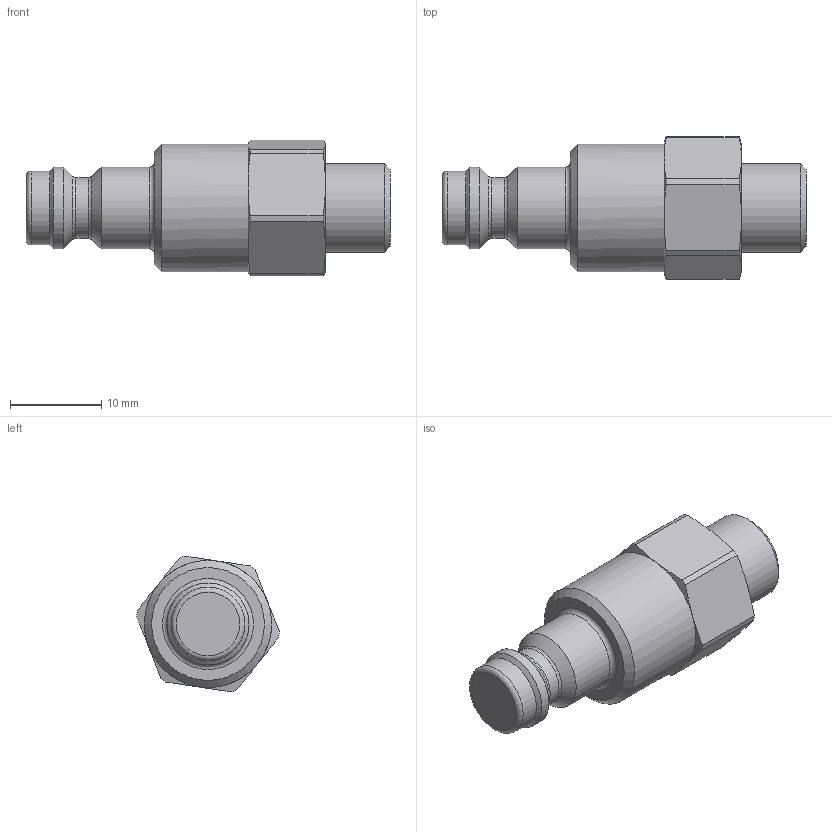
import cadquery as cq
import math

TOTAL_LENGTH = 40.0
RING_START = 2.6
RING_CREST_START = 3.0
RING_CREST_END = 4.1
SHANK_START = 8.35
BODY_START = 14.1
HEX_START = 24.4
HEX_END = 32.9

TIP_RADIUS = 8.1 / 2
SHANK_RADIUS = 9.0 / 2
NECK_RADIUS = 6.65 / 2
BODY_RADIUS = 14.0 / 2
SPIGOT_RADIUS = 9.73 / 2

TIP_ROUND = 0.55
NECK_FILLET = 0.5
RING_CONE_ANGLE = 45.0
SHANK_CONE_ANGLE = 42.0
SHANK_FILLET = 0.5
BODY_CHAMFER = 0.8
SPIGOT_CHAMFER = 0.6

HEX_ACROSS_FLATS = 2 * BODY_RADIUS
HEX_CORNER_RADIUS = 15.8 / 2
HEX_CORNER_ANGLE = 8.6
HEX_CHAMFER_ANGLE = 15.0


def arc_middle(center_x, center_r, radius, angle):
    """Point on a circle at an angle in degrees from the X axis."""
    turn = math.radians(angle)
    return (center_x + radius * math.cos(turn), center_r + radius * math.sin(turn))


def neck_transition(cone_angle):
    """Axial runs of the cone and of the fillet between shank radius and neck, and the fillet rise."""
    slope = math.radians(cone_angle)
    fillet_run = NECK_FILLET * math.sin(slope)
    fillet_rise = NECK_FILLET * (1 - math.cos(slope))
    cone_run = (SHANK_RADIUS - NECK_RADIUS - fillet_rise) / math.tan(slope)
    return cone_run, fillet_run, fillet_rise


def turned_body():
    """Plug tip, locking groove, shank, body and rear spigot as one revolve about X."""
    front_cone_run, front_fillet_run, front_rise = neck_transition(RING_CONE_ANGLE)
    ring_cone_end = RING_CREST_END + front_cone_run
    neck_start = ring_cone_end + front_fillet_run
    rear_cone_run, rear_fillet_run, rear_rise = neck_transition(SHANK_CONE_ANGLE)
    shank_cone_start = SHANK_START - rear_cone_run
    neck_end = shank_cone_start - rear_fillet_run
    tip_round_middle = arc_middle(TIP_ROUND, TIP_RADIUS - TIP_ROUND, TIP_ROUND, 135)
    shank_fillet_middle = arc_middle(
        BODY_START - SHANK_FILLET, SHANK_RADIUS + SHANK_FILLET, SHANK_FILLET, -45
    )
    profile = (
        cq.Workplane("XY")
        .moveTo(0, 0)
        .lineTo(0, TIP_RADIUS - TIP_ROUND)
        .threePointArc(tip_round_middle, (TIP_ROUND, TIP_RADIUS))
        .lineTo(RING_START, TIP_RADIUS)
        .lineTo(RING_CREST_START, SHANK_RADIUS)
        .lineTo(RING_CREST_END, SHANK_RADIUS)
        .lineTo(ring_cone_end, NECK_RADIUS + front_rise)
        .tangentArcPoint((neck_start, NECK_RADIUS), relative=False)
        .lineTo(neck_end, NECK_RADIUS)
        .tangentArcPoint((shank_cone_start, NECK_RADIUS + rear_rise), relative=False)
        .lineTo(SHANK_START, SHANK_RADIUS)
        .lineTo(BODY_START - SHANK_FILLET, SHANK_RADIUS)
        .threePointArc(shank_fillet_middle, (BODY_START, SHANK_RADIUS + SHANK_FILLET))
        .lineTo(BODY_START, BODY_RADIUS - BODY_CHAMFER)
        .lineTo(BODY_START + BODY_CHAMFER, BODY_RADIUS)
        .lineTo(HEX_START, BODY_RADIUS)
        .lineTo(HEX_START, SPIGOT_RADIUS)
        .lineTo(TOTAL_LENGTH - SPIGOT_CHAMFER, SPIGOT_RADIUS)
        .lineTo(TOTAL_LENGTH, SPIGOT_RADIUS - SPIGOT_CHAMFER)
        .lineTo(TOTAL_LENGTH, 0)
        .close()
    )
    return profile.revolve(360, (0, 0, 0), (1, 0, 0))


def hexagon():
    """Hexagonal prism with turned-down corners and conical chamfers at both ends."""
    corner_diameter = HEX_ACROSS_FLATS / math.cos(math.pi / 6)
    prism = (
        cq.Workplane("YZ", origin=(HEX_START, 0, 0))
        .polygon(6, corner_diameter)
        .extrude(HEX_END - HEX_START)
        .rotate((0, 0, 0), (1, 0, 0), HEX_CORNER_ANGLE)
    )
    flat_radius = HEX_ACROSS_FLATS / 2
    chamfer_rise = HEX_CORNER_RADIUS - flat_radius
    chamfer_length = chamfer_rise * math.tan(math.radians(HEX_CHAMFER_ANGLE))
    envelope = (
        cq.Workplane("XY")
        .moveTo(HEX_START, 0)
        .lineTo(HEX_START, flat_radius)
        .lineTo(HEX_START + chamfer_length, HEX_CORNER_RADIUS)
        .lineTo(HEX_END - chamfer_length, HEX_CORNER_RADIUS)
        .lineTo(HEX_END, flat_radius)
        .lineTo(HEX_END, 0)
        .close()
        .revolve(360, (0, 0, 0), (1, 0, 0))
    )
    return prism.intersect(envelope)


result = turned_body().union(hexagon())